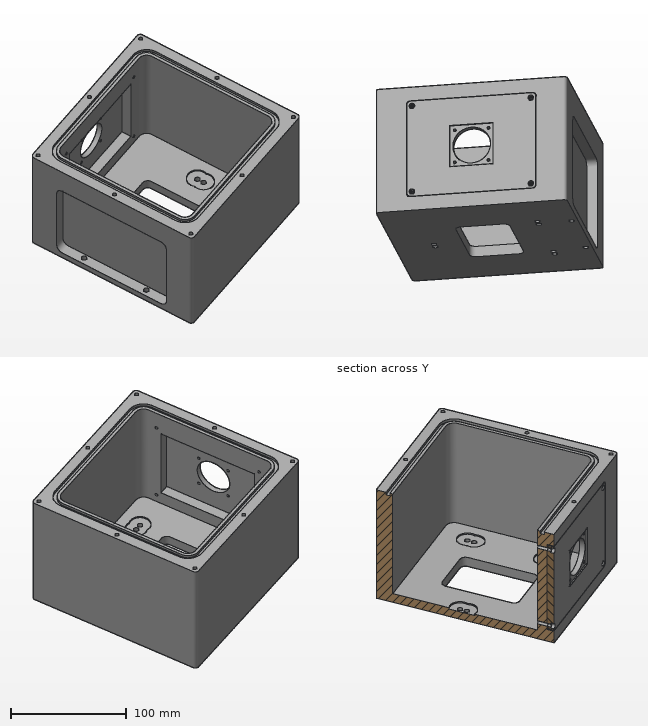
import cadquery as cq

side = 168.3
height = 114.3
outer_radius = 3.2
wall = 15.8
floor_thickness = 9.6
cavity_side = side - 2 * wall
cavity_radius = 7.9

groove_lip = 2.9
groove_width = 3.5
groove_depth = 2.5

rim_hole_inset = 4.5
rim_hole_diameter = 3.4
rim_hole_depth = 15.8

window_length = 73.0
window_width = 47.6
window_radius = 5.4

pair_places = [(0, 49.1), (-36.5, -49.1), (36.5, -49.1)]
pair_spacing = 6.4
pair_hole_diameter = 4.7
spot_face_diameter = 19.0
spot_face_depth = 1.3

front_pocket_width = 114.3
front_pocket_height = 82.6
front_pocket_base = 6.4
front_pocket_depth = 9.6
front_pocket_radius = 6.4
ledge_hole_spacing = 65.0
ledge_hole_inset = 5.7
ledge_hole_diameter = 4.7

recess_width = 114.3
recess_height = 88.9
recess_radius = 3.2
cover_gap = 0.3
cover_thickness = 6.4
cover_width = recess_width - 2 * cover_gap
cover_height = recess_height - 2 * cover_gap
cover_radius = 3.2
cover_middle = height / 2

screw_inset = 4.7
screw_spacing_y = recess_width - 2 * screw_inset
screw_spacing_z = recess_height - 2 * screw_inset
screw_hole_diameter = 2.5
screw_head_diameter = 4.7
screw_head_depth = 3.2

ledge_width = 2 * screw_inset
opening_width = recess_width - 2 * ledge_width
opening_height = recess_height - 2 * ledge_width

seat_side = 38.0
seat_depth = 1.3
port_diameter = 33.2
seat_hole_spacing = 29.8
seat_hole_diameter = 2.4


def rounded_block(length, width, depth, radius, base):
    """Block centred on Z, with rounded vertical edges, standing on the level base."""
    block = cq.Workplane("XY").workplane(offset=base).rect(length, width).extrude(depth)
    return block.edges("|Z").fillet(radius)


def side_plane(depth=0):
    """Plane parallel to the -X face, depth inside it; extrusion goes inward."""
    origin = (-side / 2 + depth, 0, cover_middle)
    return cq.Workplane(cq.Plane(origin=origin, xDir=(0, 1, 0), normal=(1, 0, 0)))


def side_block(width, tall, depth, radius):
    """Block reaching inward from the -X face, with its four corners rounded."""
    return side_plane().rect(width, tall).extrude(depth).edges("|X").fillet(radius)


def seal_groove():
    inner_side = cavity_side + 2 * groove_lip
    outer_side = inner_side + 2 * groove_width
    inner_radius = cavity_radius + groove_lip
    base = height - groove_depth
    outer = rounded_block(outer_side, outer_side, groove_depth, inner_radius + groove_width, base)
    inner = rounded_block(inner_side, inner_side, groove_depth, inner_radius, base)
    return outer.cut(inner)


def rim_holes():
    reach = side / 2 - rim_hole_inset
    places = [(x, y) for x in (-reach, 0, reach) for y in (-reach, 0, reach) if (x, y) != (0, 0)]
    rim = cq.Workplane("XY").workplane(offset=height)
    return rim.pushPoints(places).circle(rim_hole_diameter / 2).extrude(-rim_hole_depth)


def floor_hole_pair(x, y):
    """Two through holes side by side, each with a spot face in the cavity floor."""
    places = [(x, y), (x + pair_spacing, y)]
    holes = cq.Workplane("XY").pushPoints(places).circle(pair_hole_diameter / 2).extrude(floor_thickness)
    floor_top = cq.Workplane("XY").workplane(offset=floor_thickness)
    for place in places:
        spot_face = floor_top.center(*place).circle(spot_face_diameter / 2).extrude(-spot_face_depth)
        holes = holes.union(spot_face)
    return holes


def front_pocket():
    middle = front_pocket_base + front_pocket_height / 2
    face = cq.Workplane("XZ", origin=(0, -side / 2, middle))
    pocket = face.rect(front_pocket_width, front_pocket_height).extrude(-front_pocket_depth)
    pocket = pocket.edges("|Y").fillet(front_pocket_radius)
    places = [(sign * ledge_hole_spacing / 2, -side / 2 + ledge_hole_inset) for sign in (-1, 1)]
    holes = cq.Workplane("XY").pushPoints(places).circle(ledge_hole_diameter / 2)
    return pocket.union(holes.extrude(front_pocket_base))


def cover_screw_holes(diameter, start, depth):
    face = side_plane(start).rect(screw_spacing_y, screw_spacing_z, forConstruction=True)
    return face.vertices().circle(diameter / 2).extrude(depth)


def make_housing():
    body = rounded_block(side, side, height, outer_radius, 0)
    body = body.cut(rounded_block(cavity_side, cavity_side, height, cavity_radius, floor_thickness))
    body = body.cut(seal_groove())
    body = body.cut(rim_holes())
    body = body.cut(rounded_block(window_length, window_width, floor_thickness, window_radius, 0))
    for place in pair_places:
        body = body.cut(floor_hole_pair(*place))
    body = body.cut(front_pocket())
    body = body.cut(side_block(recess_width, recess_height, cover_thickness, recess_radius))
    body = body.cut(side_plane().rect(opening_width, opening_height).extrude(wall))
    return body.cut(cover_screw_holes(screw_hole_diameter, cover_thickness, wall - cover_thickness))


def make_cover():
    plate = side_block(cover_width, cover_height, cover_thickness, cover_radius)
    plate = plate.cut(side_plane().rect(seat_side, seat_side).extrude(seat_depth))
    plate = plate.cut(side_plane().circle(port_diameter / 2).extrude(cover_thickness))
    seat_corners = side_plane().rect(seat_hole_spacing, seat_hole_spacing, forConstruction=True).vertices()
    plate = plate.cut(seat_corners.circle(seat_hole_diameter / 2).extrude(cover_thickness))
    plate = plate.cut(cover_screw_holes(screw_hole_diameter, 0, cover_thickness))
    return plate.cut(cover_screw_holes(screw_head_diameter, 0, screw_head_depth))


housing = make_housing()
cover = make_cover()
result = cq.Compound.makeCompound([housing.val(), cover.val()])